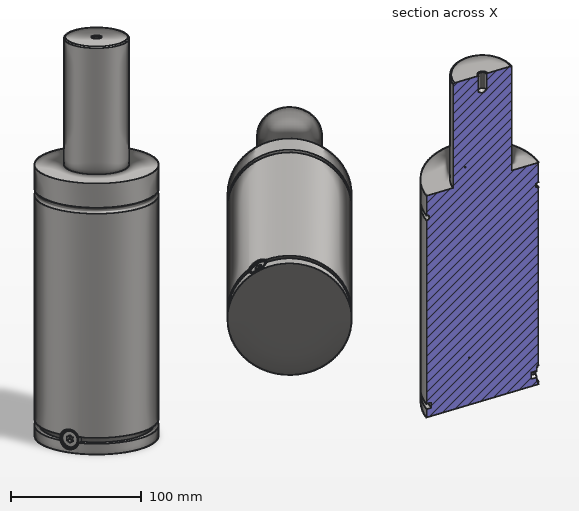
import cadquery as cq
import math

body_radius = 95.0 / 2
body_height = 217.5
total_height = 320.0

rod_radius = 50.0 / 2
rod_chamfer = 1.12
rod_hole_diameter = 6.7
rod_hole_mouth_diameter = 8.0
rod_hole_depth = 16.0
drill_point_angle = 118

base_groove_bottom = 8.5
base_groove_top = 13.5
base_groove_radius = 43.5

cap_groove_top = 198.0
cap_groove_round = 2.4
cap_groove_height = cap_groove_top - cap_groove_round

port_height = 10.5
port_pad_diameter = 16.0
port_pad_face = 46.7
port_recess_diameter = 14.0
port_floor_diameter = 12.8
port_recess_depth = 0.5
port_socket_flats = 5.0
port_socket_depth = 4.8
pad_root = 3.2

cut_margin = 3.2


def ring_groove(bottom, top, floor_radius):
    """Ring that cuts a square groove into the outside of the body."""
    return (
        cq.Workplane("XY", origin=(0, 0, bottom))
        .circle(body_radius + cut_margin)
        .circle(floor_radius)
        .extrude(top - bottom)
    )


def port_cylinder(diameter, start_radius, end_radius):
    """Cylinder along -Y on the port axis between two distances from the body axis."""
    return (
        cq.Workplane("XZ", origin=(0, -start_radius, port_height))
        .circle(diameter / 2)
        .extrude(end_radius - start_radius)
    )


body = cq.Workplane("XY").circle(body_radius).extrude(body_height)
body = body.cut(ring_groove(base_groove_bottom, base_groove_top, base_groove_radius))
cap_groove = (
    cq.Workplane("XZ")
    .center(body_radius, cap_groove_height)
    .circle(cap_groove_round)
    .revolve(360, (-body_radius, 0), (-body_radius, 1))
)
body = body.cut(cap_groove)

drill_point_height = rod_hole_diameter / 2 / math.tan(math.radians(drill_point_angle / 2))
mouth_depth = (rod_hole_mouth_diameter - rod_hole_diameter) / 2
rod_hole = (
    cq.Workplane("XZ", origin=(0, 0, total_height))
    .lineTo(rod_hole_mouth_diameter / 2, 0)
    .lineTo(rod_hole_diameter / 2, -mouth_depth)
    .lineTo(rod_hole_diameter / 2, -rod_hole_depth)
    .lineTo(0, -rod_hole_depth - drill_point_height)
    .close()
    .revolve(360, (0, 0), (0, 1))
)
rod = (
    cq.Workplane("XY", origin=(0, 0, body_height))
    .circle(rod_radius)
    .extrude(total_height - body_height)
    .faces(">Z")
    .chamfer(rod_chamfer)
    .cut(rod_hole)
)

port_floor = port_pad_face - port_recess_depth
port_pad = port_cylinder(port_pad_diameter, base_groove_radius - pad_root, port_pad_face)
pad_clearance = port_cylinder(port_pad_diameter, port_pad_face, body_radius + cut_margin)
port_recess = (
    cq.Workplane("XZ", origin=(0, -port_floor, port_height))
    .circle(port_floor_diameter / 2)
    .workplane(offset=port_recess_depth)
    .circle(port_recess_diameter / 2)
    .loft()
)

socket_across_corners = port_socket_flats / math.cos(math.radians(30))
socket = (
    cq.Workplane("XZ", origin=(0, -port_floor, port_height))
    .transformed(rotate=(0, 0, 90))
    .polygon(6, socket_across_corners)
    .extrude(-port_socket_depth)
)

result = body.union(rod).union(port_pad).cut(pad_clearance).cut(port_recess).cut(socket)